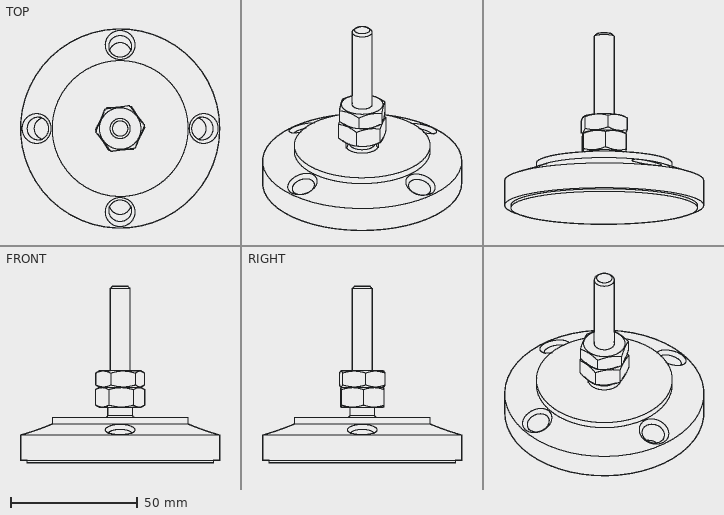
import cadquery as cq
import math

total_height = 70.0
pad_step = 1.0
pad_top = 2.4
rim_top = 11.0
cone_top = 15.4
base_top = 18.0
ball_neck_joint = 18.7
hex_bottom = 22.0
nut_bottom = 29.95
nut_top = 36.5

base_diameter = 79.0
boss_diameter = 53.9
pad_diameter = 74.0

hole_count = 4
hole_diameter = 9.0
countersink_diameter = 12.2
hole_circle_radius = 33.1
hole_overrun = 15.8
countersink_lead = 0.15

rod_diameter = 8.0
rod_chamfer = 0.95
neck_diameter = 9.9
ball_diameter = 12.95
hex_across_flats = 17.0
hex_chamfer_angle = 30.0
hex_flat_diameter = 16.4
spindle_hex_turn = 2.6
nut_turn = 8.0
ball_center = ball_neck_joint - math.sqrt((ball_diameter / 2) ** 2 - (neck_diameter / 2) ** 2)


def cylinder(diameter, bottom, top):
    return cq.Workplane("XY").workplane(offset=bottom).circle(diameter / 2).extrude(top - bottom)


def make_ball():
    return cq.Workplane("XY").sphere(ball_diameter / 2).translate((0, 0, ball_center))


def chamfered_hexagon(bottom, top, turn):
    """Hexagonal prism with its corners coned off at both ends."""
    corner_radius = hex_across_flats / math.sqrt(3)
    face_radius = hex_flat_diameter / 2
    drop = (corner_radius - face_radius) * math.tan(math.radians(hex_chamfer_angle))
    prism = (
        cq.Workplane("XY")
        .workplane(offset=bottom)
        .polygon(6, 2 * corner_radius)
        .extrude(top - bottom)
        .rotate((0, 0, 0), (0, 0, 1), turn)
    )
    envelope = (
        cq.Workplane("XZ")
        .moveTo(0, bottom)
        .lineTo(face_radius, bottom)
        .lineTo(corner_radius, bottom + drop)
        .lineTo(corner_radius, top - drop)
        .lineTo(face_radius, top)
        .lineTo(0, top)
        .close()
        .revolve(360, (0, 0, 0), (0, 1, 0))
    )
    return prism.intersect(envelope)


def hole_cutter():
    """Countersunk drill for the hole on +X, along the normal of the conical face."""
    cone_run = (base_diameter - boss_diameter) / 2
    cone_rise = cone_top - rim_top
    face_height = rim_top + (base_diameter / 2 - hole_circle_radius) * cone_rise / cone_run
    hole_radius = hole_diameter / 2
    countersink_radius = countersink_diameter / 2
    countersink_depth = countersink_radius - hole_radius
    profile = (
        cq.Workplane("XZ")
        .moveTo(0, -hole_overrun)
        .lineTo(hole_radius, -hole_overrun)
        .lineTo(hole_radius, -countersink_depth)
        .lineTo(countersink_radius + countersink_lead, countersink_lead)
        .lineTo(0, countersink_lead)
        .close()
    )
    tilt = math.degrees(math.atan2(cone_rise, cone_run))
    return (
        profile.revolve(360, (0, 0, 0), (0, 1, 0))
        .rotate((0, 0, 0), (0, 1, 0), tilt)
        .translate((hole_circle_radius, 0, face_height))
    )


def make_pad():
    return cylinder(pad_diameter, 0, pad_top)


def make_base():
    base = (
        cq.Workplane("XZ")
        .moveTo(0, pad_step)
        .lineTo(base_diameter / 2, pad_step)
        .lineTo(base_diameter / 2, rim_top)
        .lineTo(boss_diameter / 2, cone_top)
        .lineTo(boss_diameter / 2, base_top)
        .lineTo(0, base_top)
        .close()
        .revolve(360, (0, 0, 0), (0, 1, 0))
    )
    base = base.cut(cylinder(pad_diameter, pad_step, pad_top))
    base = base.cut(make_ball()).cut(cylinder(ball_diameter, ball_center, base_top))
    cutter = hole_cutter()
    for index in range(hole_count):
        base = base.cut(cutter.rotate((0, 0, 0), (0, 0, 1), index * 360 / hole_count))
    return base


def make_spindle():
    neck = cylinder(neck_diameter, ball_center, hex_bottom)
    hexagon = chamfered_hexagon(hex_bottom, nut_bottom, spindle_hex_turn)
    rod = cylinder(rod_diameter, nut_bottom, total_height).faces(">Z").chamfer(rod_chamfer)
    return make_ball().union(neck).union(hexagon).union(rod)


def make_nut():
    bore = cylinder(rod_diameter, nut_bottom, nut_top)
    return chamfered_hexagon(nut_bottom, nut_top, nut_turn).cut(bore)


pad = make_pad()
base = make_base()
spindle = make_spindle()
nut = make_nut()

result = cq.Compound.makeCompound([pad.val(), base.val(), spindle.val(), nut.val()])